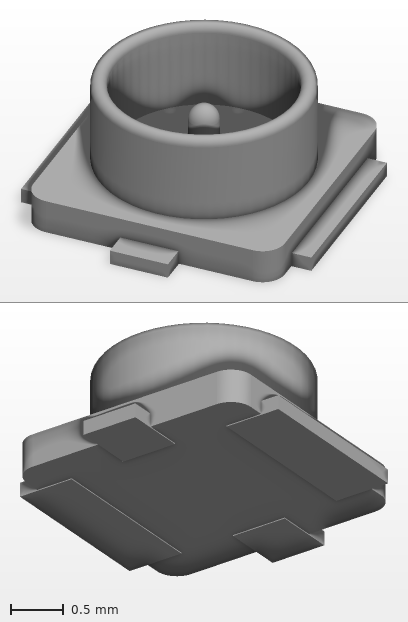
import cadquery as cq

span_x = 3.0
span_y = 3.1
total_height = 1.25

base_side = 2.6
base_corner_radius = 0.23
standoff = 0.01
base_top = 0.36

shell_outer_diameter = 2.16
shell_inner_diameter = 1.84
shell_wall = (shell_outer_diameter - shell_inner_diameter) / 2
rim_radius = shell_wall / 2

pin_diameter = 0.3
pin_radius = pin_diameter / 2
pin_top = 0.95

terminal_thickness = 0.15
ground_width = 1.8
ground_inner_x = 0.9
signal_width = 0.6
signal_inner_y = 0.9


def make_base():
    """Rounded square plate."""
    return (
        cq.Workplane("XY", origin=(0, 0, standoff))
        .rect(base_side, base_side)
        .extrude(base_top - standoff)
        .edges("|Z")
        .fillet(base_corner_radius)
    )


def make_shell():
    """Revolved wall whose top edge is a half circle."""
    inner_radius = shell_inner_diameter / 2
    outer_radius = shell_outer_diameter / 2
    rim_start = total_height - rim_radius
    return (
        cq.Workplane("XZ")
        .moveTo(inner_radius, standoff)
        .lineTo(outer_radius, standoff)
        .lineTo(outer_radius, rim_start)
        .threePointArc((inner_radius + rim_radius, total_height), (inner_radius, rim_start))
        .close()
        .revolve(360, (0, 0, 0), (0, 1, 0))
    )


def make_pin():
    """Round pin ending in a hemisphere."""
    dome_start = pin_top - pin_radius
    shaft = (
        cq.Workplane("XY", origin=(0, 0, standoff))
        .circle(pin_radius)
        .extrude(dome_start - standoff)
    )
    dome = cq.Workplane("XY", origin=(0, 0, dome_start)).sphere(pin_radius)
    return shaft.union(dome)


def make_terminal(x_min, x_max, y_min, y_max):
    """Flat terminal resting on the board plane."""
    return cq.Workplane("XY").box(
        x_max - x_min, y_max - y_min, terminal_thickness, centered=False
    ).translate((x_min, y_min, 0))


result = make_base().union(make_shell()).union(make_pin())

ground = make_terminal(ground_inner_x, span_x / 2, -ground_width / 2, ground_width / 2)
signal = make_terminal(-signal_width / 2, signal_width / 2, signal_inner_y, span_y / 2)
for terminal in (ground, signal):
    opposite = terminal.rotate((0, 0, 0), (0, 0, 1), 180)
    result = result.union(terminal).union(opposite)